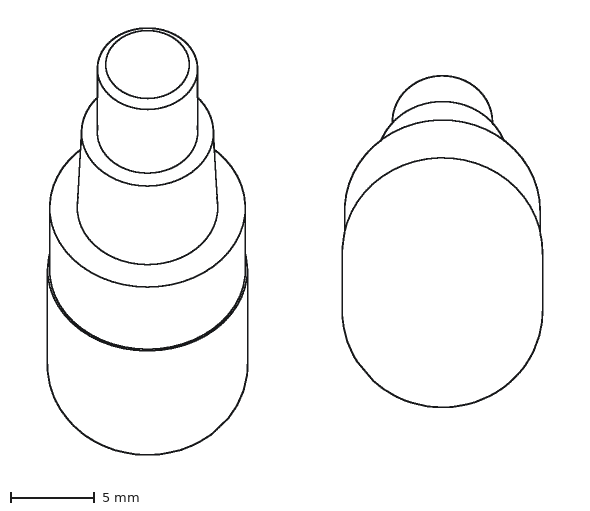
import cadquery as cq

sleeve_radius = 6.0
foot_rounding = 3.0
barrel_height = 12.05
rim_height = 0.63
rim_top_radius = 5.97
collar_radius = 5.85
collar_top = 19.05
neck_base_radius = 4.2
neck_top_radius = 3.95
neck_top = 26.75

pin_radius = 3.0
pin_top = 33.7
tip_chamfer_width = 0.5
tip_chamfer_height = 0.43
pin_seat = collar_top


def make_pin():
    """Round pin with a chamfered tip."""
    tip_radius = pin_radius - tip_chamfer_width
    profile = (
        cq.Workplane("XZ")
        .moveTo(0, pin_seat)
        .lineTo(pin_radius, pin_seat)
        .lineTo(pin_radius, pin_top - tip_chamfer_height)
        .lineTo(tip_radius, pin_top)
        .lineTo(0, pin_top)
        .close()
    )
    return profile.revolve(360, (0, 0), (0, 1))


def make_sleeve():
    """Turned sleeve: rounded foot, barrel, rim, collar and tapered neck with a bore for the pin."""
    foot_flat_radius = sleeve_radius - foot_rounding
    rim_top = barrel_height + rim_height
    profile = (
        cq.Workplane("XZ")
        .lineTo(foot_flat_radius, 0)
        .radiusArc((sleeve_radius, foot_rounding), -foot_rounding)
        .lineTo(sleeve_radius, barrel_height)
        .lineTo(rim_top_radius, rim_top)
        .lineTo(collar_radius, rim_top)
        .lineTo(collar_radius, collar_top)
        .lineTo(neck_base_radius, collar_top)
        .lineTo(neck_top_radius, neck_top)
        .lineTo(pin_radius, neck_top)
        .lineTo(pin_radius, pin_seat)
        .lineTo(0, pin_seat)
        .close()
    )
    return profile.revolve(360, (0, 0), (0, 1))


sleeve = make_sleeve()
pin = make_pin()
result = cq.Compound.makeCompound([sleeve.val(), pin.val()])